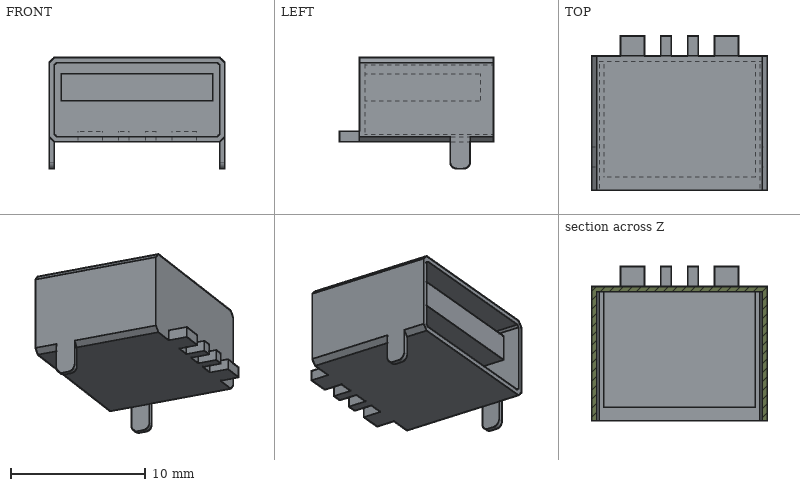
import cadquery as cq
import math

shell_width = 13.1
shell_height = 6.3
shell_depth = 10.0
wall = 0.4
shell_chamfer = 0.4
cavity_chamfer = shell_chamfer - wall * (2 - math.sqrt(2))
back_wall = wall

tongue_width = 11.3
tongue_height = 2.0
tongue_top_gap = 1.23
tongue_setback = 1.0

leg_width = 1.5
leg_length = 2.0
leg_center_y = 2.5
leg_radius = 0.5

pin_length = 1.5
pin_height = 0.8
power_pin_width = 1.8
power_pin_x = 3.5
data_pin_width = 0.8
data_pin_x = 1.0


def box(width, depth, height, x_center, y_start, z_bottom):
    """Box centred on x_center, running back from y_start and up from z_bottom."""
    return (
        cq.Workplane("XY")
        .box(width, depth, height, centered=(True, False, False))
        .translate((x_center, y_start, z_bottom))
    )


def chamfered_bar(width, depth, height, z_bottom, chamfer):
    """Bar along Y with its four long edges chamfered."""
    return box(width, depth, height, 0, 0, z_bottom).edges("|Y").chamfer(chamfer)


def make_shell():
    outside = chamfered_bar(shell_width, shell_depth, shell_height, 0, shell_chamfer)
    cavity = chamfered_bar(
        shell_width - 2 * wall,
        shell_depth - back_wall,
        shell_height - 2 * wall,
        wall,
        cavity_chamfer,
    )
    return outside.cut(cavity)


def make_tongue():
    return box(
        tongue_width,
        shell_depth - tongue_setback,
        tongue_height,
        0,
        tongue_setback,
        shell_height - tongue_top_gap - tongue_height,
    )


def make_leg(side):
    """Leg flush with the outer side wall, rising past the shell's bottom chamfer."""
    leg = box(
        wall,
        leg_width,
        leg_length + shell_chamfer,
        side * (shell_width - wall) / 2,
        leg_center_y - leg_width / 2,
        -leg_length,
    )
    return leg.edges("|X and <Z").fillet(leg_radius)


def make_pin(width, x_center):
    return box(width, pin_length, pin_height, x_center, shell_depth, 0)


result = make_shell().union(make_tongue())
for side in (-1, 1):
    result = result.union(make_leg(side))
    result = result.union(make_pin(power_pin_width, side * power_pin_x))
    result = result.union(make_pin(data_pin_width, side * data_pin_x))